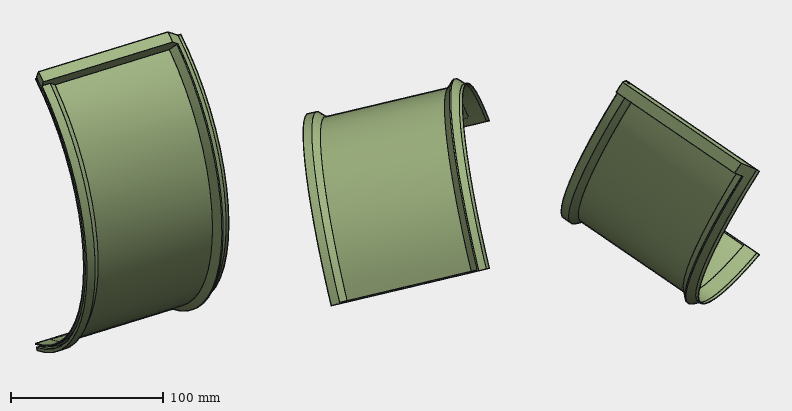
import cadquery as cq
import math

length = 107.0
inner_radius = 120.0
outer_radius = 125.0
wall = 0.5
half_angle = 65.0

rim_height = outer_radius - inner_radius - wall
front_rim_width = 6.0
back_lip_length = 2.0
back_rim_land = 1.0

groove_inner_radius = inner_radius + 0.7
groove_width = 2.0
groove_straight_depth = 2.3

flange_radius = 129.98
flange_width = 8.0

lower_rib_width = 1.0

wall_radius = inner_radius + wall


def revolve_section(points, sweep=2 * half_angle, start=-half_angle):
    """Revolve a closed (radius, y) outline around the Y axis; angles rise from +X to +Z."""
    section = cq.Workplane("XY").polyline(points).close()
    swept = section.revolve(sweep, (0, 0, 0), (0, -1, 0))
    return swept.rotate((0, 0, 0), (0, -1, 0), start)


def make_shell():
    back_slope_start = length - back_lip_length
    land_back = back_slope_start - rim_height
    land_front = land_back - back_rim_land
    return revolve_section([
        (inner_radius, 0),
        (outer_radius, 0),
        (outer_radius, front_rim_width),
        (wall_radius, front_rim_width + rim_height),
        (wall_radius, land_front - rim_height),
        (outer_radius, land_front),
        (outer_radius, land_back),
        (wall_radius, back_slope_start),
        (wall_radius, length),
        (inner_radius, length),
    ])


def make_flange():
    """Bar standing radially on the upper edge, with its back end mitred at 45 degrees."""
    foot = math.sqrt(inner_radius**2 - flange_width**2)
    bar = (
        cq.Workplane("XY")
        .box(flange_radius - foot, length, flange_width, centered=False)
        .translate((foot, 0, -flange_width))
        .rotate((0, 0, 0), (0, -1, 0), half_angle)
    )
    bore = cq.Workplane("XZ").circle(inner_radius).extrude(-length)
    mitre_top = flange_radius + 2.3
    mitre_start = length - back_lip_length
    mitre = revolve_section([
        (wall_radius, mitre_start),
        (mitre_top, mitre_start - (mitre_top - wall_radius)),
        (mitre_top, length + 2.3),
        (inner_radius, length + 2.3),
        (wall_radius, length),
    ], sweep=360)
    return bar.cut(bore).cut(mitre)


def make_lower_rib():
    """Rib joining the two rims, with its back end following the back rim's rear slope."""
    back_slope_start = length - back_lip_length
    return revolve_section([
        (inner_radius, 0),
        (outer_radius, 0),
        (outer_radius, back_slope_start - rim_height),
        (wall_radius, back_slope_start),
        (inner_radius, back_slope_start),
    ], sweep=math.degrees(lower_rib_width / outer_radius))


def make_groove():
    groove_outer_radius = groove_inner_radius + groove_width
    tip_depth = groove_straight_depth + groove_width / 2
    return revolve_section([
        (groove_inner_radius, 0),
        (groove_outer_radius, 0),
        (groove_outer_radius, groove_straight_depth),
        (groove_inner_radius + groove_width / 2, tip_depth),
        (groove_inner_radius, groove_straight_depth),
    ], sweep=360)


result = make_shell().union(make_flange()).union(make_lower_rib()).cut(make_groove())